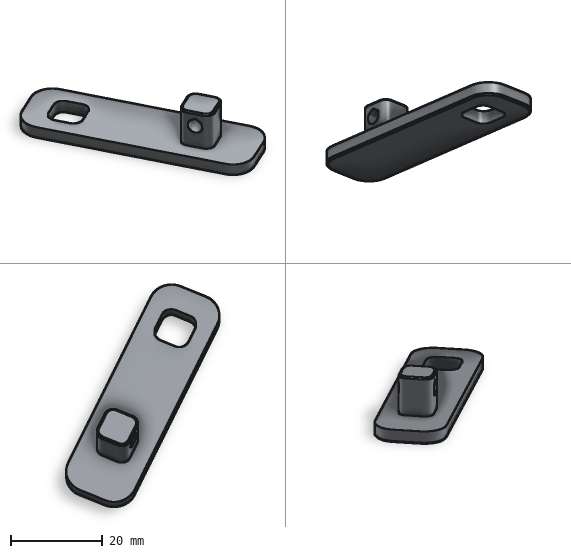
import cadquery as cq
import math

plate_length = 54
plate_width = 16.0
plate_thickness = 3.0
plate_corner_radius = 4.95
plate_bottom_chamfer = 0.4

window_size = 8.0
window_corner_diameter = 4.5
window_offset = 17.3
peg_offset = 13.5
peg_size = 7.8
peg_corner_radius = 2.0
peg_top_chamfer = 0.4
total_height = 12.0

cross_hole_diameter = 3.35
cross_hole_roof_slope = math.radians(30)
cross_hole_height = 8.5


def rounded_block(length, width, height, corner_radius):
    """Block standing on Z = 0 with rounded vertical edges."""
    block = cq.Workplane("XY").box(length, width, height, centered=(True, True, False))
    return block.edges("|Z").fillet(corner_radius)


def teardrop_cutter(diameter, roof_slope, length):
    """Hole along Y, with a shallow roof rising to a point above the circle."""
    radius = diameter / 2
    tangent_x = radius * math.sin(roof_slope)
    tangent_z = radius * math.cos(roof_slope)
    peak = radius / math.cos(roof_slope)
    return (
        cq.Workplane("XZ")
        .moveTo(-tangent_x, tangent_z)
        .threePointArc((0, -radius), (tangent_x, tangent_z))
        .lineTo(0, peak)
        .close()
        .extrude(length / 2, both=True)
    )


plate = rounded_block(plate_length, plate_width, plate_thickness, plate_corner_radius)
plate = plate.faces("<Z").chamfer(plate_bottom_chamfer)

window = rounded_block(window_size, window_size, plate_thickness, window_corner_diameter / 2)
plate = plate.cut(window.translate((-window_offset, 0, 0)))

peg = rounded_block(peg_size, peg_size, total_height, peg_corner_radius)
peg = peg.faces(">Z").chamfer(peg_top_chamfer)
cross_hole = teardrop_cutter(cross_hole_diameter, cross_hole_roof_slope, plate_width)
peg = peg.cut(cross_hole.translate((0, 0, cross_hole_height)))

result = plate.union(peg.translate((peg_offset, 0, 0)))